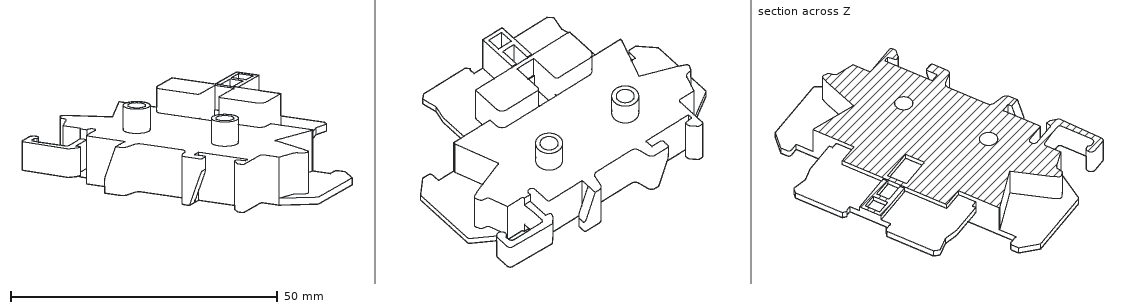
import cadquery as cq
import math

LENGTH = 58.0
DEPTH = 41.8
TOP_Z = 14.2
BODY_TOP_Z = 9.45
PLATE_THICKNESS = 1.4

BODY_BACK_Y = 26.55
SHELF_Y = 7.8
RAIL_FACE_Y = 3.8

STEM_X = 18.95
SHELF_END_X = 22.75
SHELF_FILLET = 0.4

SLOT_LEFT_X = -17.5
SLOT_RADIUS = 0.75
SLOT_RIGHT_X = SLOT_LEFT_X + 2 * SLOT_RADIUS

FOOT_INNER_X = 7.8
FOOT_TIP_X = 10.25
TOE_TOP_Y = 2.1
TOE_BEVEL_START_Z = 2.45
FOOT_FILLET = 1.1
TOE_FILLET = 0.4

TOOTH_ROOT_Y = 2.85
TOOTH_TIP_Y = 2.6
TOOTH_FLANK_Y = 1.6
TOOTH_BOTTOM_Y = 0.35
TOOTH_TIP_FILLET = 0.1
TOOTH_FLANK_FILLET = 0.25

CLIP_BOTTOM_Z = 1.9
CLIP_THICKNESS = 5.6
CLIP_ROOT_Y = SHELF_Y - SHELF_FILLET

CARD_BOTTOM_Z = 4.75
CARD_TOP_Z = CARD_BOTTOM_Z + PLATE_THICKNESS
CARD_HALF_WIDTH = 16.0
NOTCH_HALF_WIDTH = 4.45
NOTCH_Y = 39.75
BLOCK_WIDTH = 22.9
BLOCK_FRONT_Y = 23.3
BLOCK_BACK_Y = 30.85
BLOCK_FILLET = 1.4
BLOCK_SLOT_WIDTH = 4.05
BLOCK_SLOT_END_Y = 30.0
SLOT_MOUTH_FILLET = 0.45
GAP = 0.2
POST_WIDTH = 4.75
POST_HOLE_WIDTH = 3.1
POST_HOLE_Y = (36.0, 38.85)
POST_SLOT_WIDTH = 2.65
POST_SLOT_END_Y = 35.05

BOSS_X = 9.3
BOSS_Y = 11.8
BOSS_DIAMETER = 5.1
BOSS_HOLE_DIAMETER = 3.35

COINCIDENT = 0.0005


def prism(corners, bottom_z, top_z):
    """Extrude a closed outline of (x, y) or (x, y, fillet radius) corners."""
    count = len(corners)
    path = cq.Workplane("XY").workplane(offset=bottom_z)
    end = None
    for i, corner in enumerate(corners):
        here = cq.Vector(corner[0], corner[1])
        radius = corner[2] if len(corner) > 2 else 0
        if radius:
            before = corners[i - 1]
            after = corners[(i + 1) % count]
            to_before = (cq.Vector(before[0], before[1]) - here).normalized()
            to_after = (cq.Vector(after[0], after[1]) - here).normalized()
            half_angle = to_before.getAngle(to_after) / 2
            reach = radius / math.tan(half_angle)
            bisector = (to_before + to_after).normalized()
            first = here + to_before * reach
            middle = here + bisector * (radius / math.sin(half_angle) - radius)
            last = here + to_after * reach
        else:
            first = here
            last = here
        if end is None:
            path = path.moveTo(first.x, first.y)
        elif (first - end).Length > COINCIDENT:
            path = path.lineTo(first.x, first.y)
        if radius:
            path = path.threePointArc((middle.x, middle.y), (last.x, last.y))
        end = last
    return path.close().extrude(top_z - bottom_z)


def mirrored(corners):
    """The corners reflected in X, in reverse order so that an outline can continue."""
    return [(-corner[0], *corner[1:]) for corner in reversed(corners)]


def block(width, front_y, back_y, bottom_z, top_z):
    """Upright box centred on X = 0."""
    return (
        cq.Workplane("XY", origin=(0, (front_y + back_y) / 2, bottom_z))
        .box(width, back_y - front_y, top_z - bottom_z, centered=(True, True, False))
    )


def make_body():
    """Full-height housing with star-shaped flanks, two rail feet and a fixed rail hook."""
    left_flank = [
        (-20.35, BODY_BACK_Y),
        (-20.35, 26.15),
        (-17.1, 17.15),
        (-24.55, 14.4),
        (-26.3, 13.5, 0.6),
        (-25.6, 12.05, 0.4),
        (-24.1, 11.85, 0.8),
        (-SHELF_END_X, SHELF_Y),
        (-STEM_X, SHELF_Y, SHELF_FILLET),
    ]
    clip_slot = [
        (-STEM_X, CLIP_ROOT_Y),
        (SLOT_LEFT_X, CLIP_ROOT_Y),
        (SLOT_LEFT_X, SHELF_Y + SLOT_RADIUS, SLOT_RADIUS),
        (SLOT_RIGHT_X, SHELF_Y + SLOT_RADIUS, SLOT_RADIUS),
        (SLOT_RIGHT_X, RAIL_FACE_Y, 0.35),
    ]
    left_foot = [
        (-FOOT_INNER_X, RAIL_FACE_Y),
        (-FOOT_INNER_X, TOE_TOP_Y),
        (-FOOT_TIP_X, TOE_TOP_Y, TOE_FILLET),
        (-FOOT_TIP_X, 0, TOE_FILLET),
        (-6.0, 0, FOOT_FILLET),
        (-5.1, RAIL_FACE_Y, FOOT_FILLET),
    ]
    hook_inner_x = 18.1
    fixed_hook = [
        (hook_inner_x, RAIL_FACE_Y),
        (hook_inner_x, TOOTH_ROOT_Y),
        (16.3, TOOTH_TIP_Y, TOOTH_TIP_FILLET),
        (16.5, TOOTH_FLANK_Y, TOOTH_FLANK_FILLET),
        (17.75, TOOTH_BOTTOM_Y, 0.35),
        (STEM_X, TOOTH_BOTTOM_Y, 0.4),
    ]
    outline = left_flank + clip_slot + left_foot + mirrored(left_foot) + fixed_hook + mirrored(left_flank)
    body = prism(outline, 0, BODY_TOP_Z)
    left_bevel = toe_bevel(-1, TOE_BEVEL_START_Z, BODY_TOP_Z)
    right_bevel = toe_bevel(1, BODY_TOP_Z - TOE_BEVEL_START_Z, 0)
    return body.cut(left_bevel).cut(right_bevel)


def toe_bevel(side, tip_z, inner_z):
    """Wedge that slants the toe on one side (-1 left, 1 right) from its tip to its root."""
    tip_x = side * FOOT_TIP_X
    return (
        cq.Workplane("XZ")
        .polyline([(tip_x, tip_z), (side * FOOT_INNER_X, inner_z), (tip_x, inner_z)])
        .close()
        .extrude(-TOE_TOP_Y)
    )


def make_wings():
    """Thin wings beside the body, flush with its underside."""
    half_length = LENGTH / 2
    inner_x = 16.25
    inner_front_y = 11.8
    tab_x = 24.0
    tab_y = 28.9
    left_wing = [
        (-inner_x, BODY_BACK_Y),
        (-tab_x, BODY_BACK_Y),
        (-tab_x, tab_y, 0.6),
        (-26.0, tab_y),
        (-half_length, 25.85),
        (-half_length, 11.7, 0.35),
        (-SHELF_END_X, SHELF_Y),
        (-SHELF_END_X, inner_front_y),
        (-inner_x, inner_front_y),
    ]
    left = prism(left_wing, 0, PLATE_THICKNESS)
    return left.union(left.mirror("YZ"))


def make_spring_clip():
    """Thin arm hanging from the body, with a rail tooth and a curled finger lever."""
    arm_inner_x = -18.8
    finger_inner_x = -26.7
    floor_y = 1.9
    curl_left_x = -28.1
    curl_right_x = -26.2
    curl_top_y = 5.1
    curl_radius = (curl_right_x - curl_left_x) / 2
    outline = [
        (-STEM_X, CLIP_ROOT_Y),
        (arm_inner_x, 4.65),
        (arm_inner_x, floor_y, 0.6),
        (finger_inner_x, floor_y, 0.75),
        (finger_inner_x, 3.4),
        (curl_right_x, 3.8),
        (curl_right_x, curl_top_y, curl_radius),
        (curl_left_x, curl_top_y, curl_radius),
        (curl_left_x, 0.7, 0.75),
        (-17.9, TOOTH_BOTTOM_Y, TOOTH_TIP_FILLET),
        (-16.7, TOOTH_FLANK_Y, TOOTH_FLANK_FILLET),
        (-16.4, TOOTH_TIP_Y, TOOTH_TIP_FILLET),
        (SLOT_LEFT_X, TOOTH_ROOT_Y),
        (SLOT_LEFT_X, CLIP_ROOT_Y),
    ]
    return prism(outline, CLIP_BOTTOM_Z, CLIP_BOTTOM_Z + CLIP_THICKNESS)


def make_card():
    """Raised plate behind the body with waisted sides and a notch in its back edge."""
    neck_half_width = 15.25
    neck_end_y = 27.85
    left_side = [
        (-neck_half_width, BODY_BACK_Y),
        (-neck_half_width, neck_end_y),
        (-CARD_HALF_WIDTH, neck_end_y),
        (-CARD_HALF_WIDTH, 34.9),
        (-15.3, 37.8),
        (-CARD_HALF_WIDTH, 40.95, 0.35),
        (-15.1, DEPTH),
        (-4.9, DEPTH),
        (-4.25, 41.05),
        (-NOTCH_HALF_WIDTH, 40.85),
        (-NOTCH_HALF_WIDTH, NOTCH_Y),
    ]
    return prism(left_side + mirrored(left_side), CARD_BOTTOM_Z, CARD_TOP_Z)


def make_block():
    """Block that stands on both the body and the card, with a round-edged slot mouth."""
    half_width = BLOCK_WIDTH / 2
    half_slot = BLOCK_SLOT_WIDTH / 2
    left_side = [
        (-half_slot, BLOCK_SLOT_END_Y),
        (-half_slot, BLOCK_FRONT_Y, SLOT_MOUTH_FILLET),
        (-half_width, BLOCK_FRONT_Y, BLOCK_FILLET),
        (-half_width, BLOCK_BACK_Y),
    ]
    slot_end_step = block(BLOCK_SLOT_WIDTH, BODY_BACK_Y, BLOCK_SLOT_END_Y, CARD_TOP_Z, BODY_TOP_Z)
    return prism(left_side + mirrored(left_side), CARD_TOP_Z, TOP_Z).union(slot_end_step)


def block_slot_recess():
    """Lower part of the block's slot, sunk into the body down to the top of the card."""
    return block(BLOCK_SLOT_WIDTH, BLOCK_FRONT_Y, BLOCK_SLOT_END_Y - GAP, CARD_TOP_Z, BODY_TOP_Z)


def make_post():
    """Square post behind the block with a pocket and a slot open towards the block."""
    front_y = BLOCK_BACK_Y + GAP
    post = block(POST_WIDTH, front_y, NOTCH_Y, CARD_BOTTOM_Z, TOP_Z)
    pocket = block(POST_HOLE_WIDTH, *POST_HOLE_Y, CARD_TOP_Z, TOP_Z)
    slot = block(POST_SLOT_WIDTH, front_y, POST_SLOT_END_Y, CARD_TOP_Z, TOP_Z)
    return post.cut(pocket).cut(slot)


def boss_cylinders(diameter):
    """Two full-height cylinders on the boss axes."""
    return (
        cq.Workplane("XY")
        .pushPoints([(-BOSS_X, BOSS_Y), (BOSS_X, BOSS_Y)])
        .circle(diameter / 2)
        .extrude(TOP_Z)
    )


result = make_body()
for piece in (make_wings(), make_spring_clip(), make_card(), make_block(), make_post()):
    result = result.union(piece)
result = result.cut(block_slot_recess())
result = result.union(boss_cylinders(BOSS_DIAMETER)).cut(boss_cylinders(BOSS_HOLE_DIAMETER))